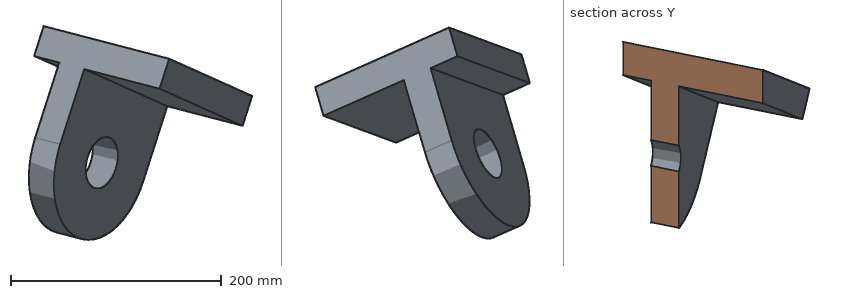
import cadquery as cq
import math

overall_height = 203.5
tilt_angle = 30.0
thickness_ratio = 1 / 5
hole_ratio = 1 / 3

tilt = math.radians(tilt_angle)
height_per_side = 0.5 + 0.5 * math.sin(tilt) + (0.5 + thickness_ratio) * math.cos(tilt)
plate_side = overall_height / height_per_side

thickness = plate_side * thickness_ratio
lug_radius = plate_side / 2
hole_diameter = plate_side * hole_ratio
lug_offset = thickness
axis_to_plate = lug_radius


def make_plate():
    """Square plate above the hole axis, before tilting."""
    return cq.Workplane("XY").box(
        plate_side, plate_side, thickness, centered=(False, True, False)
    ).translate((0, 0, axis_to_plate))


def make_lug():
    """Round-ended lug with a hole concentric with its end."""
    return (
        cq.Workplane("YZ", origin=(lug_offset, 0, 0))
        .moveTo(-lug_radius, axis_to_plate)
        .lineTo(-lug_radius, 0)
        .threePointArc((0, -lug_radius), (lug_radius, 0))
        .lineTo(lug_radius, axis_to_plate)
        .close()
        .extrude(thickness)
        .faces("<X")
        .workplane(origin=(lug_offset, 0, 0))
        .hole(hole_diameter)
    )


result = make_plate().union(make_lug()).rotate((0, 0, 0), (1, 0, 0), -tilt_angle)